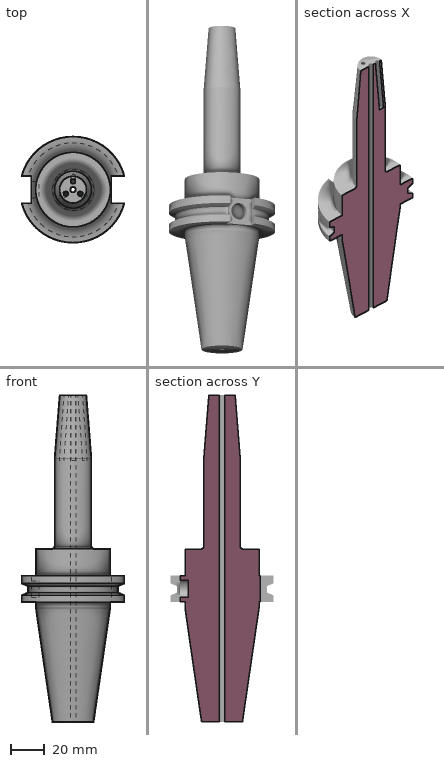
import cadquery as cq
import math

total_length = 195.2
gauge_height = 68.3
flange_bottom = 71.7
flange_top = 87.5
collar_top = 103.5
nose_start = 157.4

taper_small_diameter = 24.6
gauge_diameter = 44.5
flange_diameter = 63.5
stem_diameter = 22.0
tip_diameter = 16.0
stem_fillet = 1.5

groove_center = 79.3
groove_floor_diameter = 56.2
groove_rim_width = 7.2
groove_floor_width = 4.0

slot_width = 16.0
left_slot_floor = 25.0
right_slot_floor = 22.8

pocket_diameter = 10.0
pocket_depth = 4.7
pocket_height = (flange_bottom + flange_top) / 2

bore_diameter = 3.1
channel_diameter = 2.7
channel_count = 3
channel_circle_radius = 4.9
channel_first_angle = 90
channel_length = 39.0


def turned_body():
    """Revolve taper, flange, collar, stem and conical nose as one profile."""
    gauge_radius = gauge_diameter / 2
    flange_radius = flange_diameter / 2
    groove_radius = groove_floor_diameter / 2
    stem_radius = stem_diameter / 2
    arc_offset = stem_fillet * (1 - math.sqrt(0.5))
    return (
        cq.Workplane("XZ")
        .moveTo(0, 0)
        .lineTo(taper_small_diameter / 2, 0)
        .lineTo(gauge_radius, gauge_height)
        .lineTo(gauge_radius, flange_bottom)
        .lineTo(flange_radius, flange_bottom)
        .lineTo(flange_radius, groove_center - groove_rim_width / 2)
        .lineTo(groove_radius, groove_center - groove_floor_width / 2)
        .lineTo(groove_radius, groove_center + groove_floor_width / 2)
        .lineTo(flange_radius, groove_center + groove_rim_width / 2)
        .lineTo(flange_radius, flange_top)
        .lineTo(gauge_radius, flange_top)
        .lineTo(gauge_radius, collar_top)
        .lineTo(stem_radius + stem_fillet, collar_top)
        .threePointArc(
            (stem_radius + arc_offset, collar_top + arc_offset),
            (stem_radius, collar_top + stem_fillet),
        )
        .lineTo(stem_radius, nose_start)
        .lineTo(tip_diameter / 2, total_length)
        .lineTo(0, total_length)
        .close()
        .revolve(360, (0, 0, 0), (0, 1, 0))
    )


def drive_slot(side, floor):
    """Box that cuts a slot through the flange on the side (-1 or 1) of X."""
    return (
        cq.Workplane("XY", origin=(side * (floor + flange_diameter / 2), 0, flange_bottom))
        .box(flange_diameter, slot_width, flange_top - flange_bottom, centered=(True, True, False))
    )


def slot_pocket():
    """Cylinder sunk into the floor of the left slot."""
    return (
        cq.Workplane("YZ", origin=(-left_slot_floor, 0, pocket_height))
        .circle(pocket_diameter / 2)
        .extrude(pocket_depth)
    )


def tool_bore():
    """Central hole through the whole length."""
    return cq.Workplane("XY").circle(bore_diameter / 2).extrude(total_length)


def coolant_channel(angle):
    """Blind channel from the tip, sloping outward parallel to the nose cone."""
    cone_slope = (stem_diameter - tip_diameter) / 2 / (total_length - nose_start)
    mouth = cq.Vector(channel_circle_radius, 0, total_length)
    direction = cq.Vector(cone_slope, 0, -1).normalized()
    start = mouth - direction * channel_diameter
    channel = cq.Solid.makeCylinder(
        channel_diameter / 2, channel_length + channel_diameter, start, direction
    )
    return channel.rotate(cq.Vector(0, 0, 0), cq.Vector(0, 0, 1), angle)


result = (
    turned_body()
    .cut(drive_slot(-1, left_slot_floor))
    .cut(drive_slot(1, right_slot_floor))
    .cut(slot_pocket())
    .cut(tool_bore())
)
for index in range(channel_count):
    result = result.cut(coolant_channel(channel_first_angle + index * 360 / channel_count))